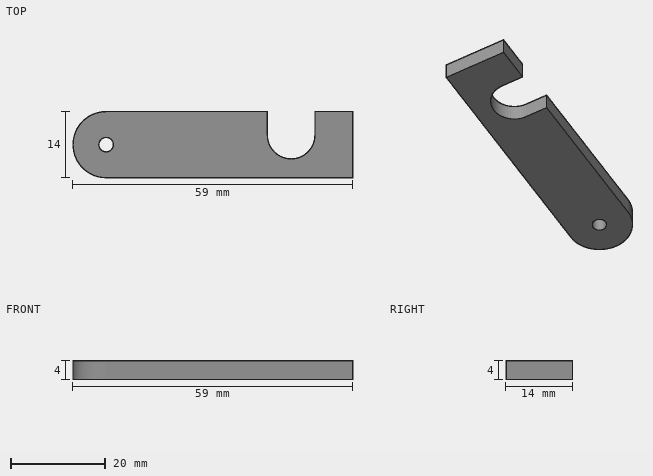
import cadquery as cq

length = 59.0
width = 14.0
thickness = 4.0
end_radius = width / 2
square_end_x = length - end_radius

hole_diameter = 3.0

slot_width = 10.0
slot_depth = 10.0
hook_length = 8.0
slot_radius = slot_width / 2
slot_x = square_end_x - hook_length - slot_radius
slot_center_y = end_radius - slot_depth + slot_radius


def make_plate():
    """Flat bar with a full-round end at -X and a square end at +X."""
    return (
        cq.Workplane("XY")
        .moveTo(0, -end_radius)
        .lineTo(square_end_x, -end_radius)
        .lineTo(square_end_x, end_radius)
        .lineTo(0, end_radius)
        .threePointArc((-end_radius, 0), (0, -end_radius))
        .close()
        .extrude(thickness)
    )


def make_pivot_hole():
    return cq.Workplane("XY").circle(hole_diameter / 2).extrude(thickness)


def make_slot():
    """Straight-sided slot ending in a half circle."""
    left = slot_x - slot_radius
    right = slot_x + slot_radius
    return (
        cq.Workplane("XY")
        .moveTo(left, end_radius)
        .lineTo(left, slot_center_y)
        .threePointArc((slot_x, slot_center_y - slot_radius), (right, slot_center_y))
        .lineTo(right, end_radius)
        .close()
        .extrude(thickness)
    )


result = make_plate().cut(make_pivot_hole()).cut(make_slot())